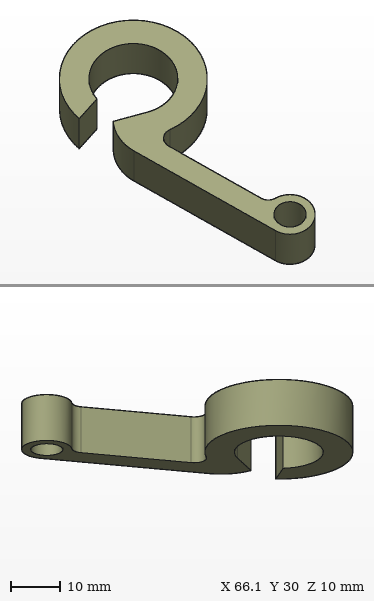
import cadquery as cq
import math

thickness = 10.0
ring_outer_radius = 15.0
ring_inner_radius = 9.0
mouth_half_width = 3.0
eye_radius = 5.1
eye_hole_diameter = 6.5
eye_x = 46.0
fillet_radius = 2.5
nose_radius = 10.0
nose_tip_height = 3.75

arm_bottom_y = -ring_outer_radius
arm_top_y = arm_bottom_y + eye_radius
eye_y = arm_top_y
fillet_y = arm_top_y + fillet_radius


def polar(center, radius, angle):
    """Point on a circle at an angle in radians."""
    return (center[0] + radius * math.cos(angle), center[1] + radius * math.sin(angle))


def direction(start, end):
    """Angle in radians of the line from start to end."""
    return math.atan2(end[1] - start[1], end[0] - start[0])


def fillet_offset(center_y, radius):
    """X distance from a circle centre to the fillet that joins the circle to the arm top."""
    return math.sqrt((radius + fillet_radius) ** 2 - (fillet_y - center_y) ** 2)


ring_center = (0.0, 0.0)
eye_center = (eye_x, eye_y)

ring_fillet_center = (fillet_offset(0.0, ring_outer_radius), fillet_y)
eye_fillet_center = (eye_x - fillet_offset(eye_y, eye_radius), fillet_y)
ring_fillet_angle = direction(ring_center, ring_fillet_center)
eye_fillet_angle = direction(eye_center, eye_fillet_center)

nose_tip = (mouth_half_width, arm_bottom_y + nose_tip_height)
nose_run = math.sqrt(nose_radius**2 - (nose_radius - nose_tip_height) ** 2)
nose_end = (nose_tip[0] + nose_run, arm_bottom_y)

tip_distance = math.hypot(*nose_tip)
bore_tangent_angle = direction(ring_center, nose_tip) + math.acos(ring_inner_radius / tip_distance)
bore_tangent_point = polar(ring_center, ring_inner_radius, bore_tangent_angle)

lip_inner = (-mouth_half_width, -math.sqrt(ring_inner_radius**2 - mouth_half_width**2))
lip_outer = (-mouth_half_width, -math.sqrt(ring_outer_radius**2 - mouth_half_width**2))


def hook_body():
    """Ring, arm and eye as one extruded outline, going counterclockwise from the nose tip."""
    return (
        cq.Workplane("XY")
        .moveTo(*nose_tip)
        .radiusArc(nose_end, -nose_radius)
        .lineTo(eye_x, arm_bottom_y)
        .threePointArc(
            polar(eye_center, eye_radius, 0.0),
            polar(eye_center, eye_radius, eye_fillet_angle),
        )
        .radiusArc((eye_fillet_center[0], arm_top_y), fillet_radius)
        .lineTo(ring_fillet_center[0], arm_top_y)
        .radiusArc(polar(ring_center, ring_outer_radius, ring_fillet_angle), fillet_radius)
        .threePointArc(polar(ring_center, ring_outer_radius, math.pi), lip_outer)
        .lineTo(*lip_inner)
        .threePointArc(polar(ring_center, ring_inner_radius, math.pi / 2), bore_tangent_point)
        .close()
        .extrude(thickness)
    )


def eye_hole():
    """Cylinder that passes through the eye."""
    return cq.Workplane("XY").center(*eye_center).circle(eye_hole_diameter / 2).extrude(thickness)


result = hook_body().cut(eye_hole())